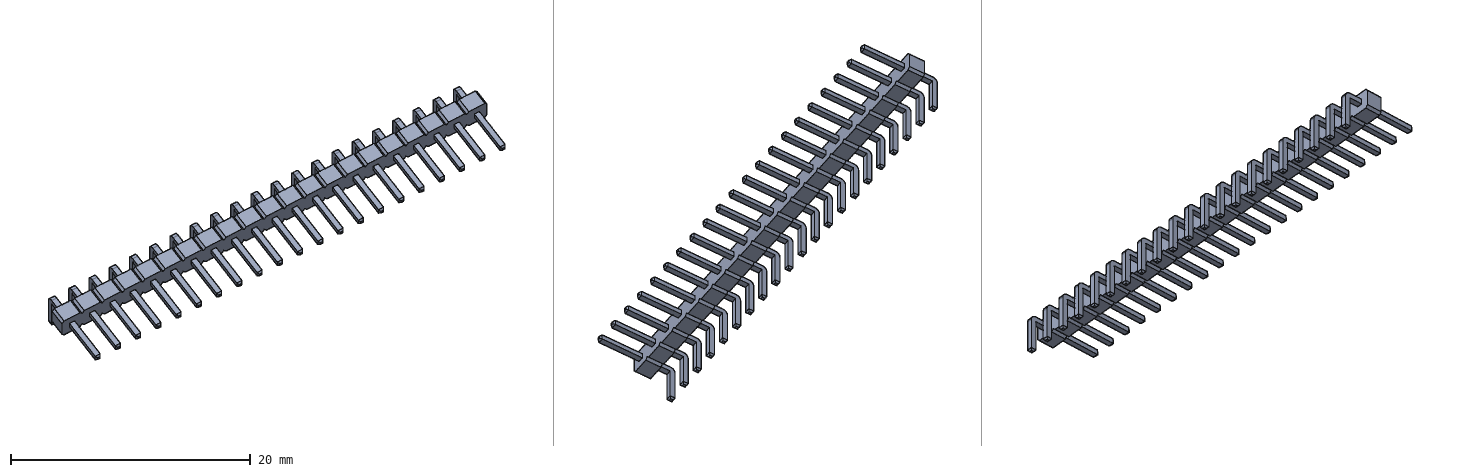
import cadquery as cq

pin_count = 21
overall_length = 42.0
overall_width = 7.45
overall_height = 4.4

pitch = overall_length / pin_count

body_thickness = 1.5
body_height = pitch
body_start = 1.75
bevel_along = 0.2
bevel_down = 0.25

pin_size = 0.5
bend_radius = pin_size
tip_length = 0.15
tip_inset = 0.13

pin_top = pin_size / 2
pin_bottom = body_height / 2 - overall_height


def body_cell():
    """One octagonal cell of the body, centred on the Y and Z origin."""
    half_length = pitch / 2
    half_height = body_height / 2
    flat_y = half_length - bevel_along
    side_z = half_height - bevel_down
    return (
        cq.Workplane("YZ", origin=(body_start, 0, 0))
        .polyline([
            (-half_length, -side_z),
            (-flat_y, -half_height),
            (flat_y, -half_height),
            (half_length, -side_z),
            (half_length, side_z),
            (flat_y, half_height),
            (-flat_y, half_height),
            (-half_length, side_z),
        ])
        .close()
        .extrude(body_thickness)
    )


def pin_tip(plane):
    """Tapered pin end that starts on the given plane and narrows along its normal."""
    end_size = pin_size - 2 * tip_inset
    return (
        cq.Workplane(plane)
        .rect(pin_size, pin_size)
        .workplane(offset=tip_length)
        .rect(end_size, end_size)
        .loft()
    )


def bent_pin():
    """One pin: an L with a rounded outer corner and a tapered tip at each end."""
    leg_end = pin_bottom + tip_length
    arm_end = overall_width - tip_length
    shank = (
        cq.Workplane("XZ", origin=(0, pin_size / 2, 0))
        .moveTo(0, leg_end)
        .lineTo(0, pin_top - bend_radius)
        .radiusArc((bend_radius, pin_top), bend_radius)
        .lineTo(arm_end, pin_top)
        .lineTo(arm_end, -pin_top)
        .lineTo(pin_size, -pin_top)
        .lineTo(pin_size, leg_end)
        .close()
        .extrude(pin_size)
    )
    arm_plane = cq.Plane(origin=(arm_end, 0, 0), xDir=(0, 1, 0), normal=(1, 0, 0))
    leg_plane = cq.Plane(origin=(pin_size / 2, 0, leg_end), xDir=(1, 0, 0), normal=(0, 0, -1))
    return shank.union(pin_tip(arm_plane)).union(pin_tip(leg_plane))


cell = body_cell().union(bent_pin())
first_y = -(pin_count - 1) / 2 * pitch

result = cell.translate((0, first_y, 0))
for index in range(1, pin_count):
    result = result.union(cell.translate((0, first_y + index * pitch, 0)))
result = result.clean()